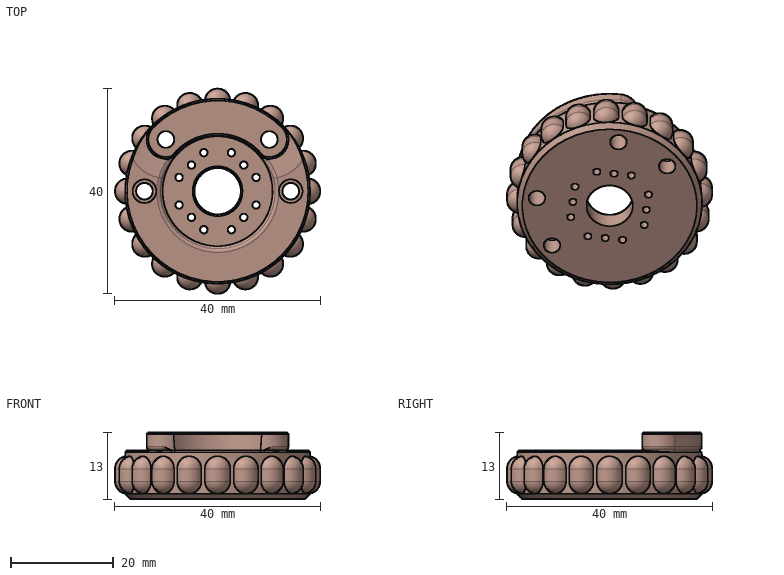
import cadquery as cq
import math

overall_diameter = 39.98
total_height = 13.0
body_radius = 18.0
arm_rise = 7.0 / 2
body_height = total_height - arm_rise
edge_break = 0.35
base_chamfer = 1.0

knob_count = 20
knob_radius = 5.0 / 2
knob_length = 2.4
knob_circle_radius = overall_diameter / 2 - knob_radius

pocket_radius = 21.4 / 2
floor_height = 5.0
lip_chamfer = 0.75
lip_blend_radius = 1.0
wall_draft = 2.0

center_bore_diameter = 9.0
horn_hole_diameter = 1.4
horn_hole_pitch = 3.4
horn_row_offset = 7.2

bolt_circle_radius = 14.25
bolt_diameter = 3.2
counterbore_diameter = 4.6
counterbore_depth = body_height - floor_height

arm_half_angle = 45.0
arm_end_radius = body_radius - bolt_circle_radius

undercut_rounding = 1.0
undercut_fillet = 0.28
ramp_radius = 2 * arm_end_radius
ramp_start_radius = 1.2
groove_sweep = 125.0
groove_run_out = 3.2

overcut = 0.8
tolerance = 0.005

diagonal = math.sqrt(0.5)
knob_center_height = base_chamfer + knob_radius + knob_length / 2
groove_floor = body_height - edge_break
lip_height = body_height - lip_chamfer
undercut_inset = undercut_rounding * (1 - diagonal)
ramp_foot_radius = arm_end_radius - undercut_inset + undercut_fillet * diagonal
ramp_slope = edge_break / (ramp_radius - ramp_foot_radius)
bolt_offset = bolt_circle_radius * math.sin(math.radians(arm_half_angle))
side_bolts = [(-bolt_circle_radius, 0), (bolt_circle_radius, 0)]
arm_bolts = [(-bolt_offset, bolt_offset), (bolt_offset, bolt_offset)]


def make_disc():
    disc = cq.Workplane("XY").circle(body_radius).extrude(body_height)
    return disc.faces(">Z").chamfer(edge_break).faces("<Z").chamfer(base_chamfer)


def make_knob(angle):
    """Upright capsule on the rim at the given angle from +X."""
    half = knob_length / 2
    capsule = (
        cq.Workplane("XZ")
        .moveTo(0, -half - knob_radius)
        .threePointArc((knob_radius * diagonal, -half - knob_radius * diagonal), (knob_radius, -half))
        .lineTo(knob_radius, half)
        .threePointArc((knob_radius * diagonal, half + knob_radius * diagonal), (0, half + knob_radius))
        .close()
        .revolve(360, (0, 0), (0, 1))
    )
    placed = capsule.translate((knob_circle_radius, 0, knob_center_height))
    return placed.rotate((0, 0, 0), (0, 0, 1), angle)


def make_arm():
    """Curved arm with round ends, standing on the disc along its +Y rim."""
    inner_radius = bolt_circle_radius - arm_end_radius
    height = total_height - lip_height
    start = math.radians(90 - arm_half_angle)
    end = math.radians(90 + arm_half_angle)
    tip = arm_end_radius * diagonal

    def polar(radius, angle):
        return (radius * math.cos(angle), radius * math.sin(angle))

    return (
        cq.Workplane("XY", origin=(0, 0, lip_height))
        .moveTo(*polar(body_radius, start))
        .threePointArc((0, body_radius), polar(body_radius, end))
        .threePointArc((-bolt_offset - tip, bolt_offset - tip), polar(inner_radius, end))
        .threePointArc((0, inner_radius), polar(inner_radius, start))
        .threePointArc((bolt_offset + tip, bolt_offset - tip), polar(body_radius, start))
        .close()
        .extrude(height)
    )


def make_arm_clearance():
    """Slightly tapered opening that trims the arm's inner wall."""
    height = total_height - lip_height
    growth = height * math.tan(math.radians(wall_draft))
    return (
        cq.Workplane("XZ")
        .moveTo(0, lip_height)
        .lineTo(pocket_radius, lip_height)
        .lineTo(pocket_radius + growth, total_height)
        .lineTo(0, total_height)
        .close()
        .revolve(360, (0, 0), (0, 1))
    )


def make_pocket():
    """Round pocket of the disc, widening as a 45 degree cone at its mouth."""
    height_above = body_height + overcut
    pocket = (
        cq.Workplane("XZ")
        .moveTo(0, floor_height)
        .lineTo(pocket_radius, floor_height)
        .lineTo(pocket_radius, lip_height)
        .lineTo(pocket_radius + height_above - lip_height, height_above)
        .lineTo(0, height_above)
        .close()
        .revolve(360, (0, 0), (0, 1))
    )
    return pocket.rotate((0, 0, 0), (0, 0, 1), 90)


def make_ramp():
    """Shallow conical dip in the top face, rising away from the -X arm bolt."""
    start_height = groove_floor - ramp_slope * (ramp_foot_radius - ramp_start_radius)
    dip = (
        cq.Workplane("XZ")
        .moveTo(ramp_start_radius, start_height)
        .lineTo(ramp_radius, body_height)
        .lineTo(ramp_radius, body_height + overcut)
        .lineTo(ramp_start_radius, body_height + overcut)
        .close()
        .revolve(180, (0, 0), (0, 1))
    )
    dip = dip.rotate((0, 0, 0), (0, 0, 1), 90 + arm_half_angle)
    return dip.translate((-bolt_offset, bolt_offset, 0))


def is_mouth_edge(edge):
    """True for the upper edge of the pocket's cone where the arm does not cover it."""
    middle = edge.positionAt(0.5)
    cone_radius = pocket_radius + middle.z - lip_height
    on_cone = abs(math.hypot(middle.x, middle.y) - cone_radius) < tolerance
    in_the_open = edge.Center().y < bolt_offset - arm_end_radius
    return on_cone and in_the_open and middle.z > lip_height + tolerance


def make_body():
    """Disc with its pocket, the two dips and the rounded pocket mouth."""
    ramp = make_ramp()
    body = make_disc().cut(make_pocket()).cut(ramp).cut(ramp.mirror("YZ"))
    mouth_edges = [edge for edge in body.edges().vals() if is_mouth_edge(edge)]
    return body.newObject(mouth_edges).fillet(lip_blend_radius)


def undercut_profile(plane, wall_radius, outer_radius, outer_height):
    """Groove under the arm, from its wall out to outer_radius at outer_height."""
    turn_height = groove_floor + undercut_fillet * (1 + diagonal)
    top = turn_height + undercut_rounding * diagonal
    half_turn = math.radians(45 / 2)
    fillet_center = wall_radius - undercut_inset + undercut_fillet * diagonal
    return (
        plane.moveTo(wall_radius, top)
        .threePointArc(
            (
                wall_radius - undercut_rounding * (1 - math.cos(half_turn)),
                top - undercut_rounding * math.sin(half_turn),
            ),
            (wall_radius - undercut_inset, turn_height),
        )
        .threePointArc(
            (fillet_center - undercut_fillet, groove_floor + undercut_fillet),
            (fillet_center, groove_floor),
        )
        .lineTo(outer_radius, outer_height)
        .lineTo(outer_radius, top)
        .close()
    )


def make_end_undercut():
    """Groove around the -X arm end, running straight on towards the pocket."""
    start = 90 + arm_half_angle
    end = start + groove_sweep
    end_height = groove_floor + ramp_slope * (arm_end_radius - ramp_foot_radius)

    def profile():
        return undercut_profile(cq.Workplane("XZ"), arm_end_radius, arm_end_radius, end_height)

    around = profile().revolve(groove_sweep, (0, 0), (0, 1)).rotate((0, 0, 0), (0, 0, 1), start)
    straight = profile().extrude(-groove_run_out).rotate((0, 0, 0), (0, 0, 1), end)
    return around.union(straight).translate((-bolt_offset, bolt_offset, 0))


def make_rim_undercut():
    """Groove under the arm's outer wall, between the two arm ends."""
    outside = body_radius + overcut
    ring = undercut_profile(cq.Workplane("XZ"), body_radius, outside, groove_floor)
    ring = ring.revolve(2 * arm_half_angle, (0, 0), (0, 1))
    return ring.rotate((0, 0, 0), (0, 0, 1), 90 - arm_half_angle)


def make_holes():
    bolt_centers = side_bolts + arm_bolts
    bolts = cq.Workplane("XY").pushPoints(bolt_centers).circle(bolt_diameter / 2).extrude(total_height)
    counterbores = (
        cq.Workplane("XY", origin=(0, 0, body_height - counterbore_depth))
        .pushPoints(side_bolts)
        .circle(counterbore_diameter / 2)
        .extrude(counterbore_depth)
    )
    bore_radius = center_bore_diameter / 2
    bore = cq.Workplane("XY").circle(bore_radius).extrude(floor_height)
    bore_chamfer = (
        cq.Workplane("XY", origin=(0, 0, floor_height))
        .circle(bore_radius + edge_break)
        .extrude(-edge_break, taper=45)
    )
    holes = bolts.union(counterbores).union(bore).union(bore_chamfer)
    row = [(horn_row_offset, step * horn_hole_pitch) for step in (-1, 0, 1)]
    row_holes = cq.Workplane("XY").pushPoints(row).circle(horn_hole_diameter / 2).extrude(floor_height)
    for angle in (45, 135, 225, 315):
        holes = holes.union(row_holes.rotate((0, 0, 0), (0, 0, 1), angle))
    return holes


arm_clearance = make_arm_clearance()
arm = make_arm().cut(arm_clearance).faces(">Z").chamfer(edge_break)
result = make_body().union(arm)

end_undercut = make_end_undercut()
result = result.cut(end_undercut).cut(end_undercut.mirror("YZ")).cut(make_rim_undercut())

for index in range(knob_count):
    result = result.union(make_knob(index * 360 / knob_count))

result = result.cut(make_holes())